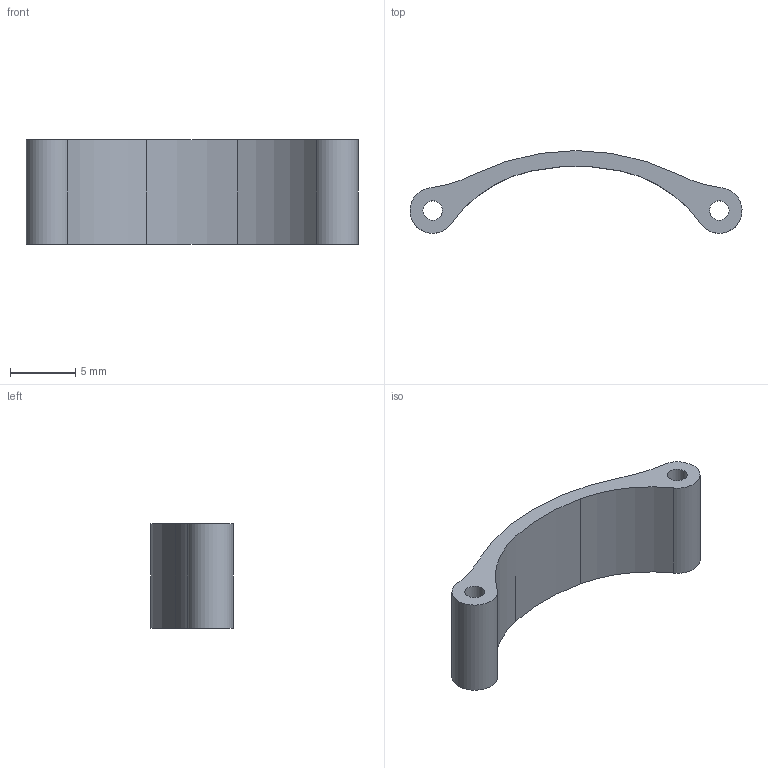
import cadquery as cq
import math

HEIGHT = 8.0
HOLE_SPACING = 22.0
HOLE_DIAMETER = 1.5
LUG_RADIUS = 1.75
BAND_THICKNESS = 1.2
BAND_RISE = 4.0
OUTER_BLEND_RADIUS = 10.0
INNER_BLEND_RADIUS = 10.0

HALF_SPACING = HOLE_SPACING / 2
MID_RADIUS = (HALF_SPACING**2 + BAND_RISE**2) / (2 * BAND_RISE)
OUTER_RADIUS = MID_RADIUS + BAND_THICKNESS / 2
INNER_RADIUS = MID_RADIUS - BAND_THICKNESS / 2
BAND_CENTER = (0.0, BAND_RISE - MID_RADIUS)
LUG_CENTER = (HALF_SPACING, 0.0)


def mirrored(point):
    """Reflect a point to the other side of the YZ plane."""
    return (-point[0], point[1])


def along(start, target, length):
    """Point at the given distance from start on the line towards target."""
    span = math.dist(start, target)
    return tuple(s + (t - s) * length / span for s, t in zip(start, target))


def blend_center(band_distance, lug_distance, side):
    """Point at given distances from the band and lug centres.

    side is +1 for the point above the line joining those centres, -1 for below.
    """
    span = math.dist(BAND_CENTER, LUG_CENTER)
    axial = (band_distance**2 - lug_distance**2 + span**2) / (2 * span)
    offset = side * math.sqrt(band_distance**2 - axial**2)
    ux = (LUG_CENTER[0] - BAND_CENTER[0]) / span
    uy = (LUG_CENTER[1] - BAND_CENTER[1]) / span
    return (
        BAND_CENTER[0] + axial * ux - offset * uy,
        BAND_CENTER[1] + axial * uy + offset * ux,
    )


def arc_middle(center, radius, start, end):
    """Middle of the shorter arc from start to end."""
    chord_middle = ((start[0] + end[0]) / 2, (start[1] + end[1]) / 2)
    return along(center, chord_middle, radius)


def clip_outline():
    """Closed chain of tangent arcs: curved band, blends and end lugs."""
    outer_blend = blend_center(
        OUTER_RADIUS + OUTER_BLEND_RADIUS, LUG_RADIUS + OUTER_BLEND_RADIUS, 1
    )
    outer_band_end = along(BAND_CENTER, outer_blend, OUTER_RADIUS)
    lug_top = along(LUG_CENTER, outer_blend, LUG_RADIUS)
    outer_middle = arc_middle(outer_blend, OUTER_BLEND_RADIUS, outer_band_end, lug_top)

    inner_blend = blend_center(
        INNER_RADIUS - INNER_BLEND_RADIUS, LUG_RADIUS + INNER_BLEND_RADIUS, 1
    )
    inner_band_end = along(BAND_CENTER, inner_blend, INNER_RADIUS)
    lug_bottom = along(LUG_CENTER, inner_blend, LUG_RADIUS)
    inner_middle = arc_middle(inner_blend, INNER_BLEND_RADIUS, inner_band_end, lug_bottom)

    lug_tip = along(LUG_CENTER, arc_middle(LUG_CENTER, LUG_RADIUS, lug_top, lug_bottom), -LUG_RADIUS)
    outer_peak = (0.0, BAND_CENTER[1] + OUTER_RADIUS)
    inner_peak = (0.0, BAND_CENTER[1] + INNER_RADIUS)

    return (
        cq.Workplane("XY")
        .moveTo(*mirrored(outer_band_end))
        .threePointArc(outer_peak, outer_band_end)
        .threePointArc(outer_middle, lug_top)
        .threePointArc(lug_tip, lug_bottom)
        .threePointArc(inner_middle, inner_band_end)
        .threePointArc(inner_peak, mirrored(inner_band_end))
        .threePointArc(mirrored(inner_middle), mirrored(lug_bottom))
        .threePointArc(mirrored(lug_tip), mirrored(lug_top))
        .threePointArc(mirrored(outer_middle), mirrored(outer_band_end))
        .close()
    )


def lug_holes():
    """Pins that cut the through holes in both lugs."""
    return (
        cq.Workplane("XY")
        .pushPoints([LUG_CENTER, mirrored(LUG_CENTER)])
        .circle(HOLE_DIAMETER / 2)
        .extrude(HEIGHT)
    )


result = clip_outline().extrude(HEIGHT).cut(lug_holes())